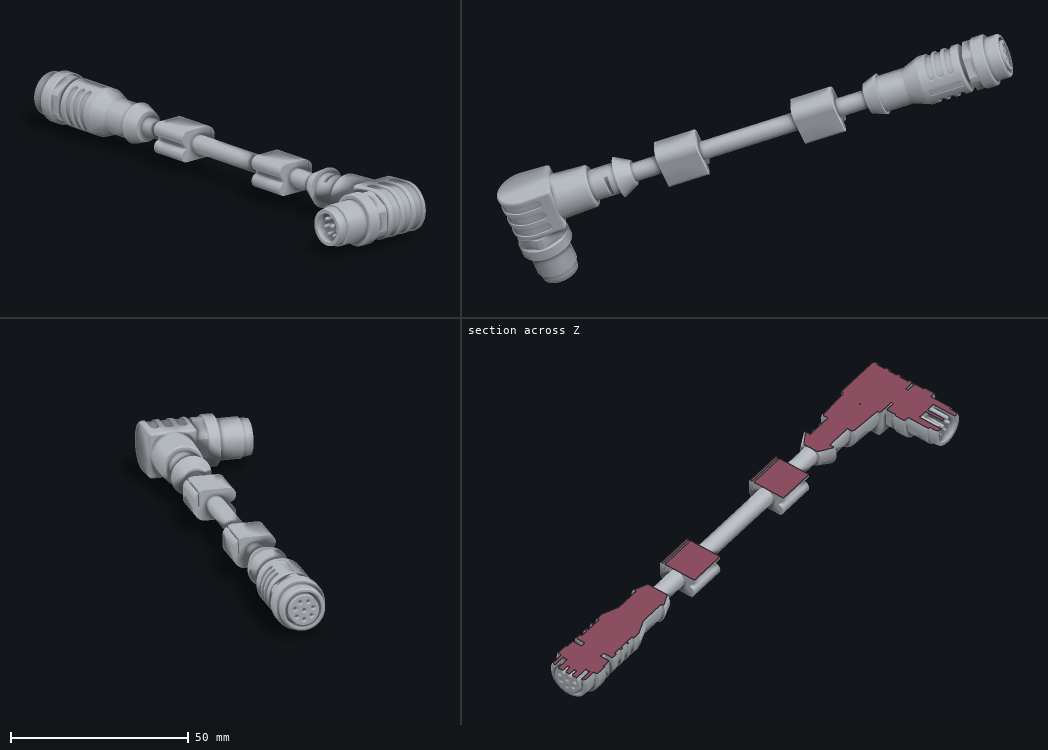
import cadquery as cq
import math

TOTAL_LENGTH = 152.1
RING_DIAMETER = 15.0
ELBOW_X = TOTAL_LENGTH - RING_DIAMETER / 2
PLUG_TIP = 24.5
CABLE_DIAMETER = 5.3
JOIN_OVERLAP = 0.8

RING_CHAMFER = 0.3
HEX_ACROSS_FLATS = 13.1
HEX_CORNER_DIAMETER = 14.3
NECK_DIAMETER = 8.8

SLEEVE_START = 0.5
SLEEVE_DIAMETER = 12.8
SLEEVE_CHAMFER = 0.5
SOCKET_RING_START = 4.7
SOCKET_RING_END = 8.5
SOCKET_HEX_END = 11.1
GRIP_START = 12.5
GRIP_END = 24.8
GRIP_DIAMETER = 14.1
GRIP_EDGE = 0.3
TAIL_START = 29.7
TAIL_DIAMETER = 10.5
COLLAR_START = 37.7
COLLAR_DIAMETER = 12.0
COLLAR_END = 42.0
COLLAR_END_DIAMETER = 9.0

INSERT_DIAMETER = 8.7
MOUTH_DIAMETER = 10.8
MOUTH_FLOOR = 4.5
SEAL_RADIUS = (MOUTH_DIAMETER - INSERT_DIAMETER) / 4
SEAL_MEAN_RADIUS = (MOUTH_DIAMETER + INSERT_DIAMETER) / 4

CONTACT_COUNT = 7
CONTACT_CIRCLE_RADIUS = 2.7
HOLE_DIAMETER = 0.9
HOLE_MOUTH_DIAMETER = 1.5
HOLE_MOUTH_DEPTH = 0.3
HOLE_DEPTH = 2.3
PIN_DIAMETER = 1.0
PIN_TIP_DIAMETER = 0.8
PIN_TIP_LENGTH = 0.5

GROOVE_STATIONS = (15.5, 18.5, 21.3)
GROOVE_WIDTH = 2.1
GROOVE_END = 3.2
GROOVE_DEPTH = 0.6
LABEL_START = 13.4
LABEL_END = 23.5
LABEL_WIDTH = 2.1
LABEL_DEPTH = 0.3

CLIP_STARTS = (51.1, 92.3)
CLIP_LENGTH = 12.0
CLIP_HALF_HEIGHT = 4.5
CLIP_HALF_WIDTH = 6.1
CLIP_FLAT_BACK_Y = 2.6
CLIP_FLAT_FRONT_Y = -4.1
CLIP_FOOT_Y = -4.9
CLIP_LOBE_Z = 2.5
CLIP_NOTCH_Y = -4.4
CLIP_NOTCH_TOP = 0.3
CLIP_NOTCH_BOTTOM = -0.8
CLIP_SHOULDER_Y = 5.0
CLIP_SHOULDER_Z = 3.8
CLIP_LIP_Z = 2.1
CLIP_SLIT_Y = 4.5
CLIP_SLIT_WIDTH = 0.5
CLIP_SLIT_BOTTOM = -0.5

CUP_START = 112.9
CUP_START_DIAMETER = 7.3
CUP_END = 117.3
CUP_DIAMETER = 11.9
STEM_DIAMETER = 9.0
STEM_SLOT_START = 119.5
STEM_SLOT_WIDTH = 1.2
STEM_SLOT_FLOOR = 2.9
BOOT_START = 125.3
BOOT_DIAMETER = 12.3
BOOT_END_DIAMETER = 13.4
BOOT_CHAMFER = 0.5

HOUSING_START = 135.8
HOUSING_START_HALF_HEIGHT = 6.8
HOUSING_RADIUS = 7.3
HOUSING_HALF_WIDTH = 7.0
HOUSING_EDGE_RADIUS = 0.9
HOUSING_SLOT_TIP = 139.3
HOUSING_SLOT_WIDTH = 2.7
HOUSING_SLOT_PITCH = 4.1
HOUSING_SLOT_DEPTH = 0.5

PLUG_HEX_START = 7.6
PLUG_RING_START = 10.8
PLUG_RING_END = 14.5
PLUG_SLEEVE_END = 21.6
PLUG_SLEEVE_DIAMETER = 12.0
PLUG_TIP_DIAMETER = 11.0
PLUG_TIP_END_DIAMETER = 10.5
PLUG_TIP_CHAMFER_START = 23.3
PLUG_BORE_DIAMETER = 8.4
PLUG_BORE_DEPTH = 7.6
PIN_RECESS = 1.5


def along_x(outline):
    """Solid of revolution about X from an outline of (x, radius) points between its two ends on the axis."""
    points = [(outline[0][0], 0)] + outline + [(outline[-1][0], 0)]
    return cq.Workplane("XY").polyline(points).close().revolve(360, (0, 0, 0), (1, 0, 0))


def cylinder_x(start, end, diameter):
    return along_x([(start, diameter / 2), (end, diameter / 2)])


def coupling_ring(start, end):
    return cylinder_x(start, end, RING_DIAMETER).edges().chamfer(RING_CHAMFER)


def coupling_hex(start, end):
    """Hexagon with flats facing +Y and -Y and its corners turned down to a circle."""
    hexagon = (
        cq.Workplane("YZ", origin=(start, 0, 0))
        .polygon(6, HEX_ACROSS_FLATS, circumscribed=True)
        .extrude(end - start)
    )
    return hexagon.intersect(cylinder_x(start, end, HEX_CORNER_DIAMETER))


def contact_points(key_angle):
    """Centre contact, then the circle of contacts starting at key_angle degrees."""
    points = [(0, 0)]
    for index in range(CONTACT_COUNT):
        angle = math.radians(key_angle + index * 360 / CONTACT_COUNT)
        points.append((CONTACT_CIRCLE_RADIUS * math.cos(angle), CONTACT_CIRCLE_RADIUS * math.sin(angle)))
    return points


def socket_nut():
    sleeve = cylinder_x(SLEEVE_START, SOCKET_RING_START + JOIN_OVERLAP, SLEEVE_DIAMETER)
    sleeve = sleeve.faces("<X").edges().chamfer(SLEEVE_CHAMFER)
    mouth = cylinder_x(SLEEVE_START, MOUTH_FLOOR, MOUTH_DIAMETER)
    seal = (
        cq.Workplane("XY", origin=(MOUTH_FLOOR, SEAL_MEAN_RADIUS, 0))
        .circle(SEAL_RADIUS)
        .revolve(360, (0, -SEAL_MEAN_RADIUS, 0), (1, -SEAL_MEAN_RADIUS, 0))
    )
    return (
        sleeve.union(coupling_ring(SOCKET_RING_START, SOCKET_RING_END))
        .cut(mouth)
        .union(seal)
        .union(coupling_hex(SOCKET_RING_END, SOCKET_HEX_END))
        .union(cylinder_x(SOCKET_HEX_END, GRIP_START, NECK_DIAMETER))
    )


def socket_insert():
    """Cylinder with a funnel-mouthed hole for each contact."""
    insert = cylinder_x(0, MOUTH_FLOOR + JOIN_OVERLAP, INSERT_DIAMETER)
    hole = along_x([
        (0, HOLE_MOUTH_DIAMETER / 2),
        (HOLE_MOUTH_DEPTH, HOLE_DIAMETER / 2),
        (HOLE_DEPTH, HOLE_DIAMETER / 2),
    ])
    for y, z in contact_points(-90):
        insert = insert.cut(hole.translate((0, y, z)))
    return insert


def socket_grip():
    grip = along_x([
        (GRIP_START, GRIP_DIAMETER / 2 - GRIP_EDGE),
        (GRIP_START + GRIP_EDGE, GRIP_DIAMETER / 2),
        (GRIP_END, GRIP_DIAMETER / 2),
        (TAIL_START, TAIL_DIAMETER / 2),
        (COLLAR_START, TAIL_DIAMETER / 2),
        (COLLAR_START, COLLAR_DIAMETER / 2),
        (COLLAR_END, COLLAR_END_DIAMETER / 2),
    ])
    core = cylinder_x(GRIP_START, GRIP_END, GRIP_DIAMETER - 2 * GROOVE_DEPTH)
    cutter_length = GRIP_DIAMETER
    centre_y = GROOVE_END + cutter_length / 2
    for side in (-1, 1):
        grooves = (
            cq.Workplane("XY")
            .pushPoints([(station, side * centre_y) for station in GROOVE_STATIONS])
            .slot2D(cutter_length, GROOVE_WIDTH, 90)
            .extrude(GRIP_DIAMETER, both=True)
            .cut(core)
        )
        grip = grip.cut(grooves)
    label_floor = GRIP_DIAMETER / 2 - LABEL_DEPTH
    label = cq.Workplane("XY", origin=(LABEL_START, 0, label_floor)).box(
        LABEL_END - LABEL_START, LABEL_WIDTH, GRIP_DIAMETER, centered=(False, True, False)
    )
    return grip.cut(label).cut(label.mirror("XY"))


def clip(start):
    """Cable clip: rounded block with a notch along its -Y side and a slit behind its +Y lip."""
    top = CLIP_HALF_HEIGHT
    side = CLIP_HALF_WIDTH
    block = (
        cq.Workplane("YZ", origin=(start, 0, 0))
        .moveTo(CLIP_FLAT_BACK_Y, top)
        .lineTo(CLIP_FLAT_FRONT_Y, top)
        .threePointArc((-side, CLIP_LOBE_Z), (CLIP_NOTCH_Y, CLIP_NOTCH_TOP))
        .lineTo(CLIP_NOTCH_Y, CLIP_NOTCH_BOTTOM)
        .threePointArc((-side, -CLIP_LOBE_Z), (CLIP_FOOT_Y, -top))
        .lineTo(CLIP_FLAT_BACK_Y, -top)
        .threePointArc((CLIP_SHOULDER_Y, -CLIP_SHOULDER_Z), (side, -CLIP_LIP_Z))
        .lineTo(side, CLIP_LIP_Z)
        .threePointArc((CLIP_SHOULDER_Y, CLIP_SHOULDER_Z), (CLIP_FLAT_BACK_Y, top))
        .close()
        .extrude(CLIP_LENGTH)
    )
    slit = cq.Workplane("XY").box(CLIP_LENGTH, CLIP_SLIT_WIDTH, 2 * top, centered=False)
    return block.cut(slit.translate((start, CLIP_SLIT_Y, CLIP_SLIT_BOTTOM)))


def elbow_boot():
    boot = along_x([
        (CUP_START, CUP_START_DIAMETER / 2),
        (CUP_END, CUP_DIAMETER / 2),
        (CUP_END, STEM_DIAMETER / 2),
        (BOOT_START, STEM_DIAMETER / 2),
        (BOOT_START, BOOT_DIAMETER / 2 - BOOT_CHAMFER),
        (BOOT_START + BOOT_CHAMFER, BOOT_DIAMETER / 2),
        (HOUSING_START + HOUSING_EDGE_RADIUS, BOOT_END_DIAMETER / 2),
    ])
    slot = cq.Workplane("XY", origin=(STEM_SLOT_START, 0, STEM_SLOT_FLOOR)).box(
        STEM_SLOT_WIDTH, STEM_DIAMETER, STEM_DIAMETER, centered=(False, True, False)
    )
    return boot.cut(slot).cut(slot.mirror("XY"))


def housing_block(inset):
    """Slightly tapered block with a round end, made smaller by inset above, below and at the end."""
    radius = HOUSING_RADIUS - inset
    half_height = HOUSING_START_HALF_HEIGHT - inset
    return (
        cq.Workplane("XZ", origin=(0, HOUSING_HALF_WIDTH, 0))
        .moveTo(HOUSING_START, -half_height)
        .lineTo(ELBOW_X, -radius)
        .threePointArc((ELBOW_X + radius, 0), (ELBOW_X, radius))
        .lineTo(HOUSING_START, half_height)
        .close()
        .extrude(2 * HOUSING_HALF_WIDTH)
    )


def elbow_housing():
    housing = housing_block(0).faces("<X or <Y or >Y").edges().fillet(HOUSING_EDGE_RADIUS)
    cutter_length = 2 * (ELBOW_X + HOUSING_RADIUS - HOUSING_SLOT_TIP)
    slots = (
        cq.Workplane("XY", origin=(HOUSING_SLOT_TIP + cutter_length / 2, 0, 0))
        .pushPoints([(0, step * HOUSING_SLOT_PITCH) for step in (-1, 0, 1)])
        .slot2D(cutter_length, HOUSING_SLOT_WIDTH)
        .extrude(2 * HOUSING_RADIUS, both=True)
    )
    return housing.cut(slots.cut(housing_block(HOUSING_SLOT_DEPTH)))


def elbow_plug():
    """Plug built along X from the cable axis, then turned to point along -Y."""
    tip = along_x([
        (PLUG_RING_START, PLUG_SLEEVE_DIAMETER / 2),
        (PLUG_SLEEVE_END, PLUG_SLEEVE_DIAMETER / 2),
        (PLUG_SLEEVE_END, PLUG_TIP_DIAMETER / 2),
        (PLUG_TIP_CHAMFER_START, PLUG_TIP_DIAMETER / 2),
        (PLUG_TIP, PLUG_TIP_END_DIAMETER / 2),
    ])
    bore_floor = PLUG_TIP - PLUG_BORE_DEPTH
    pin_end = PLUG_TIP - PIN_RECESS
    pin = along_x([
        (bore_floor - JOIN_OVERLAP, PIN_DIAMETER / 2),
        (pin_end - PIN_TIP_LENGTH, PIN_DIAMETER / 2),
        (pin_end, PIN_TIP_DIAMETER / 2),
    ])
    plug = (
        tip.cut(cylinder_x(bore_floor, PLUG_TIP, PLUG_BORE_DIAMETER))
        .union(coupling_ring(PLUG_RING_START, PLUG_RING_END))
        .union(coupling_hex(PLUG_HEX_START, PLUG_RING_START))
        .union(cylinder_x(HOUSING_HALF_WIDTH - JOIN_OVERLAP, PLUG_HEX_START, NECK_DIAMETER))
    )
    for y, z in contact_points(90):
        plug = plug.union(pin.translate((0, y, z)))
    return plug.rotate((0, 0, 0), (0, 0, 1), -90).translate((ELBOW_X, 0, 0))


result = cylinder_x(COLLAR_END - JOIN_OVERLAP, CUP_START + JOIN_OVERLAP, CABLE_DIAMETER)
for clip_start in CLIP_STARTS:
    result = result.union(clip(clip_start))
for build in (socket_nut, socket_insert, socket_grip, elbow_boot, elbow_housing, elbow_plug):
    result = result.union(build())